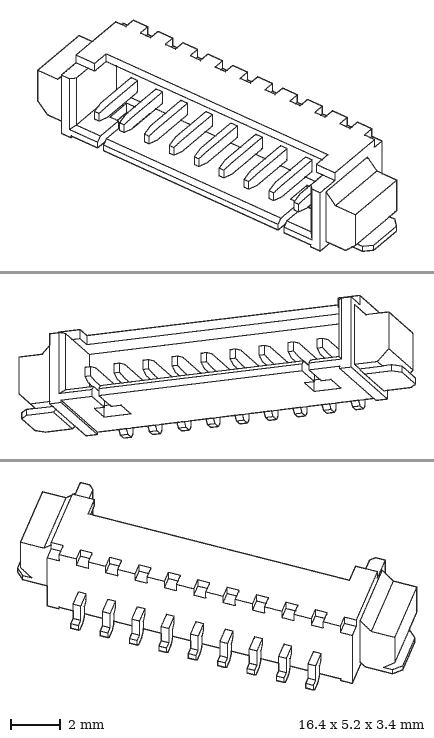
import cadquery as cq


body_length = 12.99
body_depth = 4.21
body_height = 3.4
step_depth = 1.0
roof_thickness = 0.4
roof_front = 1.79
roof_opening_length = 11.12

cavity_length = 11.78
cavity_back = 2.95
floor_top = 0.59
mouth_chamfer = 0.2

foot_length = 0.5
foot_height = 0.1

slot_center = 4.53
slot_width = 0.3
window_front = 1.43
window_back = 2.56
window_width = 1.15

notch_size = 0.51

pin_count = 9
pin_row_length = 10.0
pin_width = 0.33
pin_bottom = 1.03
pin_height = 0.59
pin_tip_y = 0.4
pin_taper_length = 0.5
pin_tip_width = 0.23
pin_tip_height = 0.4
tail_top = 1.38
tail_underside = 1.0
tail_front = 4.41
tail_leg_back = 4.9
tail_end = 5.2
tail_toe_height = 0.5
tail_chamfer = 0.2

ear_front = 0.4
ear_back = 3.21
ear_reach = 7.97
ear_shoulder = 6.97
ear_top = 2.31
ear_root_top = 2.8
ear_bottom = 0.25
ear_chamfer = 0.5
tab_reach = 8.2
tab_front = 1.0
tab_thickness = 0.26
tab_chamfer = 0.33
tab_root_chamfer = 0.21

half_body = body_length / 2
wall_top = body_height - roof_thickness
pin_pitch = pin_row_length / (pin_count - 1)
pin_positions = [i * pin_pitch - pin_row_length / 2 for i in range(pin_count)]


def block(x_range, y_range, z_range):
    """Box spanning the given coordinate ranges."""
    (x0, x1), (y0, y1), (z0, z1) = x_range, y_range, z_range
    return cq.Workplane("XY").box(x1 - x0, y1 - y0, z1 - z0, centered=False).translate((x0, y0, z0))


def centered_block(x_center, width, y_range, z_range):
    """Box centred on x_center."""
    return block((x_center - width / 2, x_center + width / 2), y_range, z_range)


def make_cavity():
    """Front cavity whose mouth flares outward at the sides and floor."""
    cavity_height = wall_top - floor_top
    cavity = centered_block(0, cavity_length, (0, cavity_back), (floor_top, wall_top))
    mouth_height = cavity_height + 2 * mouth_chamfer
    flare = (
        cq.Workplane("XZ")
        .center(0, floor_top + cavity_height / 2)
        .rect(cavity_length + 2 * mouth_chamfer, mouth_height)
        .workplane(offset=-mouth_chamfer)
        .rect(cavity_length, cavity_height)
        .loft(ruled=True)
    )
    below_roof = centered_block(0, body_length, (0, body_depth), (0, wall_top))
    return cavity.union(flare.intersect(below_roof))


def make_housing():
    housing = centered_block(0, body_length, (0, body_depth), (0, body_height))
    roof_range = (wall_top, body_height)
    housing = housing.cut(centered_block(0, body_length, (0, step_depth), roof_range))
    housing = housing.cut(centered_block(0, roof_opening_length, (0, roof_front), roof_range))
    housing = housing.cut(make_cavity())
    housing = housing.cut(
        centered_block(0, body_length - 2 * foot_length, (0, body_depth), (0, foot_height))
    )
    for side in (-1, 1):
        floor_range = (0, floor_top)
        housing = housing.cut(
            centered_block(side * slot_center, slot_width, (0, window_front), floor_range)
        )
        housing = housing.cut(
            centered_block(side * slot_center, window_width, (window_front, window_back), floor_range)
        )
    notch_depth_range = (body_depth - notch_size, body_depth)
    for x in pin_positions:
        housing = housing.cut(centered_block(x, notch_size, notch_depth_range, roof_range))
    for side in (-1, 1):
        corner_x = side * (half_body - notch_size / 2)
        housing = housing.cut(centered_block(corner_x, notch_size, notch_depth_range, roof_range))
    return housing


def make_pin(x):
    """Blade with a tapered tip inside the cavity and a bent solder tail behind the housing."""
    taper_back = pin_tip_y + pin_taper_length
    blade = centered_block(
        x, pin_width, (taper_back, body_depth - notch_size), (pin_bottom, pin_bottom + pin_height)
    )
    tip = (
        cq.Workplane("XZ", origin=(x, pin_tip_y, pin_bottom + pin_height / 2))
        .rect(pin_tip_width, pin_tip_height)
        .workplane(offset=-pin_taper_length)
        .rect(pin_width, pin_height)
        .loft(ruled=True)
    )
    bend_drop = tail_front - body_depth
    tail = (
        cq.Workplane("YZ", origin=(x - pin_width / 2, 0, 0))
        .moveTo(cavity_back, tail_top)
        .lineTo(tail_leg_back, tail_top)
        .lineTo(tail_leg_back, tail_toe_height)
        .lineTo(tail_end, tail_toe_height)
        .lineTo(tail_end, tail_chamfer)
        .lineTo(tail_end - tail_chamfer, 0)
        .lineTo(tail_front + tail_chamfer, 0)
        .lineTo(tail_front, tail_chamfer)
        .lineTo(tail_front, tail_underside - bend_drop)
        .lineTo(body_depth, tail_underside)
        .lineTo(cavity_back, tail_underside)
        .close()
        .extrude(pin_width)
    )
    return blade.union(tip).union(tail)


def make_right_ear():
    """Block on the +X side of the housing with a solder tab under it."""
    ear = (
        cq.Workplane("XZ", origin=(0, ear_back, 0))
        .moveTo(half_body, ear_bottom)
        .lineTo(ear_reach - ear_chamfer, ear_bottom)
        .lineTo(ear_reach, ear_bottom + ear_chamfer)
        .lineTo(ear_reach, ear_top)
        .lineTo(ear_shoulder, ear_top)
        .lineTo(half_body, ear_root_top)
        .close()
        .extrude(ear_back - ear_front)
    )
    tab = block((half_body, tab_reach), (tab_front, ear_back), (0, tab_thickness))
    tab = tab.edges("|Z and >X").chamfer(tab_chamfer)
    tab = tab.edges("|Y and <X and <Z").chamfer(tab_root_chamfer)
    return ear.union(tab)


result = make_housing()
right_ear = make_right_ear()
result = result.union(right_ear).union(right_ear.mirror("YZ"))
for pin_x in pin_positions:
    result = result.union(make_pin(pin_x))